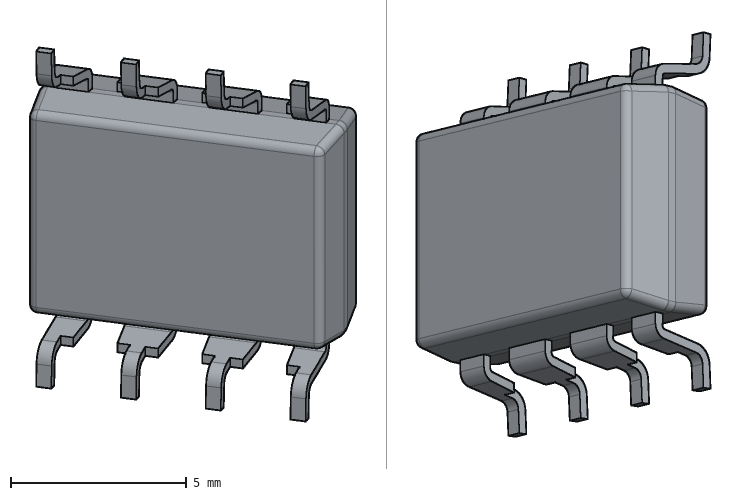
import cadquery as cq
import math

body_length = 9.15
body_thickness = 3.3
body_height = 6.61
overall_depth = 3.68
draft_angle = 7.0
edge_radius = 0.25

lead_thickness = 0.28
lead_pitch = 2.54
leads_per_row = 4
shoulder_width = 1.5
shoulder_taper = 6.0
shoulder_reach = 1.18
foot_width = 0.46
foot_length = 0.7
arm_angle = 9.0
foot_angle = 3.0
knee_inner_radius = 0.11
ankle_inner_radius = 0.3
tip_height = 5.21

toe_reach = overall_depth - body_thickness / 2
half_lead = lead_thickness / 2
half_shoulder = shoulder_width / 2
half_foot = foot_width / 2
first_lead_x = -lead_pitch * (leads_per_row - 1) / 2
body_top = body_height / 2
arm = math.radians(arm_angle)
foot = math.radians(foot_angle)
bend_spacing = knee_inner_radius + lead_thickness + ankle_inner_radius
knee_y = -half_lead - knee_inner_radius
ankle_outer_radius = ankle_inner_radius + lead_thickness
knee_outer_radius = knee_inner_radius + lead_thickness
ankle_y = ankle_outer_radius * math.cos(foot) + foot_length * math.sin(foot) - toe_reach
arm_length = (knee_y - ankle_y + bend_spacing * math.sin(arm)) / math.cos(arm)
ankle_z = tip_height - foot_length * math.cos(foot) + ankle_inner_radius * math.sin(foot)
knee_z = ankle_z - bend_spacing * math.cos(arm) - arm_length * math.sin(arm)


def make_body():
    """Parting band with a drafted, rounded half on each side."""
    half_depth = (body_thickness - lead_thickness) / 2
    band_plane = cq.Workplane("XZ", origin=(0, half_lead, 0))
    block = band_plane.rect(body_length, body_height).extrude(lead_thickness)
    for side in ("<Y", ">Y"):
        half = block.faces(side).workplane(centerOption="CenterOfBoundBox")
        block = half.rect(body_length, body_height).extrude(half_depth, taper=draft_angle)
    corner_edges = block.edges("not(|X or |Z)")
    face_edges = block.faces("<Y or >Y").edges()
    return corner_edges.add(face_edges).fillet(edge_radius)


def around(center_y, center_z, radius, angle):
    """Point at an angle from +Y towards +Z about a bend centre."""
    return (center_y + radius * math.cos(angle), center_z + radius * math.sin(angle))


def make_side_profile(width):
    """Bent strip of constant thickness, spread along X over the given width."""
    knee_end = math.pi / 2 - arm
    ankle_start = -math.pi / 2 - arm
    ankle_end = -math.pi + foot
    knee_middle = knee_end / 2
    ankle_middle = (ankle_start + ankle_end) / 2
    inner_foot_y, inner_foot_z = around(ankle_y, ankle_z, ankle_inner_radius, ankle_end)
    outer_foot_y, outer_foot_z = around(ankle_y, ankle_z, ankle_outer_radius, ankle_end)
    foot_y = -foot_length * math.sin(foot)
    foot_z = foot_length * math.cos(foot)
    return (
        cq.Workplane("YZ")
        .moveTo(half_lead, body_top)
        .lineTo(half_lead, knee_z)
        .threePointArc(around(knee_y, knee_z, knee_outer_radius, knee_middle),
                       around(knee_y, knee_z, knee_outer_radius, knee_end))
        .lineTo(*around(ankle_y, ankle_z, ankle_inner_radius, ankle_start))
        .threePointArc(around(ankle_y, ankle_z, ankle_inner_radius, ankle_middle),
                       (inner_foot_y, inner_foot_z))
        .lineTo(inner_foot_y + foot_y, inner_foot_z + foot_z)
        .lineTo(outer_foot_y + foot_y, outer_foot_z + foot_z)
        .lineTo(outer_foot_y, outer_foot_z)
        .threePointArc(around(ankle_y, ankle_z, ankle_outer_radius, ankle_middle),
                       around(ankle_y, ankle_z, ankle_outer_radius, ankle_start))
        .lineTo(*around(knee_y, knee_z, knee_inner_radius, knee_end))
        .threePointArc(around(knee_y, knee_z, knee_inner_radius, knee_middle),
                       (-half_lead, knee_z))
        .lineTo(-half_lead, body_top)
        .close()
        .extrude(width / 2, both=True)
    )


def make_plan(left_shoulder, right_shoulder):
    """Upright prism of the lead's outline seen along Z; a side without a shoulder is straight."""
    narrowing = (half_lead + shoulder_reach) * math.tan(math.radians(shoulder_taper))
    shoulder_side = [(half_shoulder, half_lead), (half_shoulder - narrowing, -shoulder_reach),
                     (half_foot, -shoulder_reach), (half_foot, -toe_reach)]
    straight_side = [(half_foot, half_lead), (half_foot, -toe_reach)]
    right = shoulder_side if right_shoulder else straight_side
    left = shoulder_side if left_shoulder else straight_side
    outline = right + [(-x, y) for x, y in reversed(left)]
    top_plane = cq.Workplane("XY", origin=(0, 0, body_top))
    return top_plane.polyline(outline).close().extrude(tip_height - body_top)


def make_lead(index):
    """Upper lead; the end leads have a shoulder only on the side facing the row's middle."""
    plan = make_plan(left_shoulder=index > 0, right_shoulder=index < leads_per_row - 1)
    lead = make_side_profile(shoulder_width).intersect(plan)
    return lead.translate((first_lead_x + index * lead_pitch, 0, 0))


body = make_body()
leads = []
for index in range(leads_per_row):
    upper_lead = make_lead(index)
    lower_lead = upper_lead.mirror("XY")
    leads += [upper_lead.val(), lower_lead.val()]

result = cq.Compound.makeCompound([body.val(), *leads])